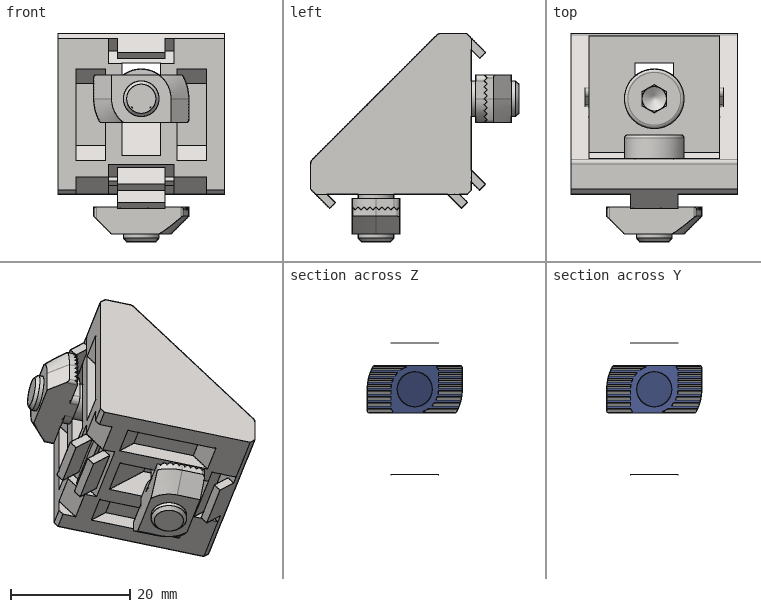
import cadquery as cq
import math

width = 28.0
leg = 27.02
plate = 6.0
cheek = 3.0
pocket_half = width / 2 - cheek
hypotenuse_sum = 32.55
tip_chamfer = 0.85
heel_chamfer = 0.7
edge_radius = 1.0
inner_chamfer = 1.0

slot_half = 3.22
slot_low = 6.55
slot_high = 22.0

recess_depth = 2.5
recess_inner = 6.0
recess_low = 5.67
recess_high = 21.05

groove_half = 5.45
groove_depth = 2.1
outer_groove_top = 26.18
inner_groove_top = 4.97
tab_half = 4.02
tab_reach = 2.38
outer_tab_top = leg - tip_chamfer
outer_tab_bottom = 24.22
inner_tab_top = 4.05
inner_tab_bottom = 2.03

heel_relief = 2.9
heel_relief_centre = 3.65

notch_depth = 0.6
notch_half = 1.22
notch_length = 3.5

fastener_position = 16.03
screw_radius = 6.0 / 2
screw_tip_radius = 4.9 / 2
screw_tip_height = 0.6
overall = 35.0
screw_end = overall - leg
head_radius = 10.0 / 2
head_height = 4.0
head_edge = 0.55
socket_flats = 4.1
socket_depth = 2.0
socket_cone_height = 1.2

nut_length = 16.0
nut_width = 8.0
nut_gap = 0.7
nut_shoulder = 2.15
nut_bevel_start = 3.68
nut_end = 6.7
nut_corner_radius = 0.5
neck_corner_radius = 1.0
tooth_count = 8
tooth_pitch = nut_width / tooth_count
tooth_depth = tooth_pitch / 2


def across(points, half_width):
    """Prism with a (y, z) outline, reaching half_width to both sides of the middle plane."""
    return cq.Workplane("YZ").polyline(points).close().extrude(half_width, both=True)


def other_leg(shape):
    """Half turn about the line y = z, which carries one plate of the bracket onto the other."""
    return shape.rotate((0, 0, 0), (0, 1, 1), 180)


def make_body():
    """Triangular block with the space between the cheeks taken out."""
    slope_end = hypotenuse_sum - leg
    block = across(
        [
            (heel_chamfer, 0),
            (leg - tip_chamfer, 0),
            (leg, tip_chamfer),
            (leg, slope_end),
            (slope_end, leg),
            (tip_chamfer, leg),
            (0, leg - tip_chamfer),
            (0, heel_chamfer),
        ],
        width / 2,
    )
    upper_edge = cq.selectors.NearestToPointSelector((0, slope_end, leg))
    rear_edge = cq.selectors.NearestToPointSelector((0, leg, slope_end))
    block = block.edges(upper_edge + rear_edge).fillet(edge_radius)
    pocket = across(
        [
            (plate + inner_chamfer, plate),
            (leg, plate),
            (leg, leg),
            (plate, leg),
            (plate, plate + inner_chamfer),
        ],
        pocket_half,
    )
    return block.cut(pocket)


def make_slot():
    """Slot through the front plate; its lower end climbs inward at 45 degrees."""
    return across(
        [
            (0, slot_low),
            (plate, slot_low + plate),
            (plate, slot_high),
            (0, slot_high),
        ],
        slot_half,
    )


def make_recess(side):
    """Blind recess in the front plate; side is -1 or 1 along X."""
    outline = [
        (0, recess_low),
        (recess_depth, recess_low + recess_depth),
        (recess_depth, recess_high - recess_depth),
        (0, recess_high),
    ]
    middle = side * (recess_inner + pocket_half) / 2
    return across(outline, (pocket_half - recess_inner) / 2).translate((middle, 0, 0))


def make_groove(top):
    """V groove across the front face with its upper edge at height top."""
    return across(
        [(0, top), (groove_depth, top - groove_depth), (0, top - 2 * groove_depth)], groove_half
    )


def make_tab(top, bottom, groove_top):
    """Tab sloping down and outward at 45 degrees from the upper wall of a groove."""
    root_upper = (groove_top - top) / 2
    root_lower = (groove_top - bottom) / 2
    end_lower = tab_reach - (top - bottom) / 2
    return across(
        [
            (root_upper, top + root_upper),
            (-tab_reach, top - tab_reach),
            (-end_lower, bottom - end_lower),
            (root_lower, bottom + root_lower),
        ],
        tab_half,
    )


def make_corner_cut(reach, half_width):
    """Cut along the outer corner, up to the plane y + z = reach."""
    return across([(0, 0), (reach, 0), (0, reach)], half_width)


def make_notches():
    """Bar across both cheeks, square to their sloping faces and flared where it meets them."""
    middle = hypotenuse_sum / 2
    mouth = notch_half + edge_radius
    bend = edge_radius * (1 - math.sqrt(0.5))
    slope = cq.Plane(origin=(0, middle, middle), xDir=(0, 1, -1), normal=(1, 0, 0))
    return (
        cq.Workplane(slope)
        .moveTo(-mouth, 0)
        .threePointArc((-notch_half - bend, -bend), (-notch_half, -edge_radius))
        .lineTo(-notch_half, -notch_length)
        .lineTo(notch_half, -notch_length)
        .lineTo(notch_half, -edge_radius)
        .threePointArc((notch_half + bend, -bend), (mouth, 0))
        .close()
        .extrude(pocket_half + notch_depth, both=True)
    )


def make_bracket():
    """Body with its cuts and tabs, each made for the front plate and repeated on the other."""
    cuts = [make_slot(), make_recess(-1), make_recess(1)]
    cuts += [make_groove(outer_groove_top), make_groove(inner_groove_top)]
    tabs = [
        make_tab(outer_tab_top, outer_tab_bottom, outer_groove_top),
        make_tab(inner_tab_top, inner_tab_bottom, inner_groove_top),
    ]
    bracket = make_body()
    bracket = bracket.cut(make_corner_cut(heel_relief, pocket_half))
    bracket = bracket.cut(make_corner_cut(heel_relief_centre, groove_half))
    for cut in cuts:
        bracket = bracket.cut(cut).cut(other_leg(cut))
    for tab in tabs:
        bracket = bracket.union(tab).union(other_leg(tab))
    return bracket.cut(make_notches())


def facing_out(distance):
    """Workplane on the front fastener's axis, facing outward, at a distance out from the plate."""
    return cq.Workplane("XZ", origin=(0, -distance, fastener_position))


def make_screw():
    """Cap screw of the front plate, with its head on the plate's inner face."""
    head = facing_out(-plate - head_height).circle(head_radius).extrude(head_height)
    head = head.faces(">Y").edges().fillet(head_edge)
    shank = facing_out(-plate).circle(screw_radius).extrude(plate + screw_end)
    shank = shank.faces("<Y").edges().chamfer(screw_tip_height, screw_radius - screw_tip_radius)
    corner_diameter = socket_flats / math.cos(math.pi / 6)
    socket = (
        facing_out(-plate - head_height)
        .transformed(rotate=(0, 0, 90))
        .polygon(6, corner_diameter)
        .extrude(socket_depth)
    )
    cone_plane = facing_out(-plate - head_height + socket_depth).plane
    cone = cq.Workplane(
        cq.Solid.makeCone(
            socket_flats / 2, 0, socket_cone_height, cone_plane.origin, cone_plane.zDir
        )
    )
    return head.union(shank).cut(socket).cut(cone)


def nut_quarter(x_side, z_side):
    """Block around a quarter of the nut, on one side of its axis along X and along Z."""
    corner = (x_side * nut_length / 2, z_side * nut_width / 2)
    return facing_out(0).rect(*corner, centered=False).extrude(nut_end)


def nut_section():
    """Half section of the nut's wide part, from its axis out to one end."""
    bevel = nut_end - nut_bevel_start
    half_length = nut_length / 2
    section = [
        (0, -nut_shoulder),
        (half_length, -nut_shoulder),
        (half_length, -nut_bevel_start),
        (half_length - bevel, -nut_end),
        (0, -nut_end),
    ]
    return cq.Workplane("XY", origin=(0, 0, fastener_position)).polyline(section).close()


def make_nut_base():
    """Wide part of the nut: square ends, rounded about the axis on two opposite corners."""
    straight = nut_section().extrude(nut_width / 2, both=True)
    straight = straight.union(straight.mirror("YZ"))
    turned = nut_section().revolve(360, (0, 0, 0), (0, 1, 0))
    base = straight.intersect(nut_quarter(-1, 1))
    base = base.union(straight.intersect(nut_quarter(1, -1)))
    base = base.union(turned.intersect(nut_quarter(1, 1)))
    base = base.union(turned.intersect(nut_quarter(-1, -1)))
    return base.edges("|Y").fillet(nut_corner_radius)


def make_tooth_grooves():
    """V grooves along X that leave teeth on the shoulder, with a crest on the axis."""
    lowest_crest = fastener_position - nut_width / 2
    outline = [
        (-nut_shoulder, lowest_crest),
        (-nut_shoulder - tooth_depth, lowest_crest + tooth_pitch / 2),
        (-nut_shoulder, lowest_crest + tooth_pitch),
    ]
    groove = across(outline, nut_length)
    return [groove.translate((0, 0, index * tooth_pitch)) for index in range(tooth_count)]


def make_neck():
    """Neck of the nut: square, with two opposite corners rounded to half its width."""
    half = nut_width / 2
    height = nut_shoulder + tooth_depth - nut_gap
    neck = facing_out(nut_gap).circle(half).extrude(height)
    for x, z in [(-half, half), (half, -half)]:
        corner = facing_out(nut_gap).rect(x, z, centered=False).extrude(height)
        outer_edge = cq.selectors.NearestToPointSelector((x, -nut_gap, fastener_position + z))
        corner = corner.edges("|Y").edges(outer_edge).fillet(neck_corner_radius)
        neck = neck.union(corner)
    return neck


def make_nut():
    """Slot nut of the front plate, threaded on the screw."""
    nut = make_nut_base()
    for groove in make_tooth_grooves():
        nut = nut.cut(groove)
    bore = facing_out(0).circle(screw_radius).extrude(nut_end)
    return nut.union(make_neck()).cut(bore)


bracket = make_bracket()
screw = make_screw()
nut = make_nut()
screws = [screw.val(), other_leg(screw).val()]
nuts = [nut.val(), other_leg(nut).val()]
result = cq.Compound.makeCompound([bracket.val(), *screws, *nuts])